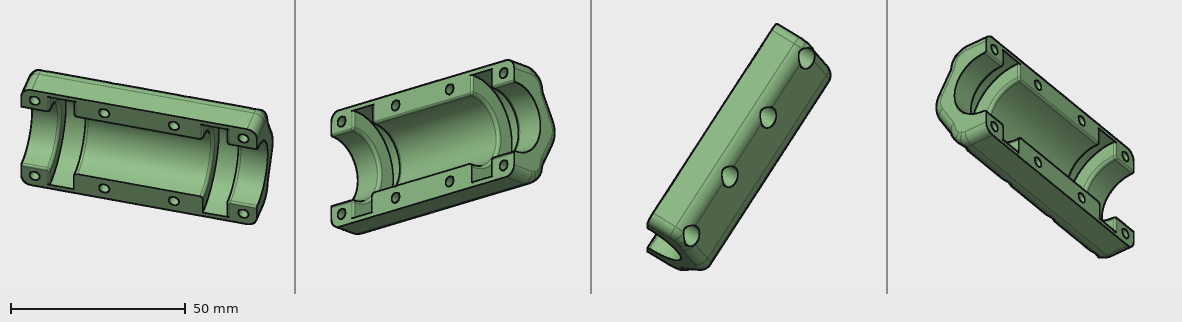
import cadquery as cq
import math

length = 70.0
depth = 19.4
height = 35.4
slope_angle = math.radians(30)
ridge_radius = 8.0
shoulder_radius = 5.0
end_radius = 3.0

axis_y = 0.85
bore_radius = 10.5
groove_radius = 16.3
groove_width = 7.15
first_groove_x = 8.5
second_groove_x = 53.9

lip_radius = 1.0
mouth_radius = 0.6

screw_diameter = 3.0
head_diameter = 6.0
head_seat_y = 7.0
screw_inset = 4.0
screw_z = 14.0
screws_per_row = 4
screw_pitch = (length - 2 * screw_inset) / (screws_per_row - 1)

tolerance = 0.01


def make_block():
    """Extrude the half hexagon and round its ridge and shoulders."""
    half_height = height / 2
    sharp_ridge_y = depth + ridge_radius * (1 / math.cos(slope_angle) - 1)
    shoulder_y = sharp_ridge_y - half_height * math.tan(slope_angle)
    block = (
        cq.Workplane("YZ")
        .moveTo(0, -half_height)
        .lineTo(shoulder_y, -half_height)
        .lineTo(sharp_ridge_y, 0)
        .lineTo(shoulder_y, half_height)
        .lineTo(0, half_height)
        .close()
        .extrude(length)
    )
    block = block.edges("|X and >Y").fillet(ridge_radius)
    shoulders = [
        edge for edge in block.edges("|X").vals() if abs(edge.Center().y - shoulder_y) < tolerance
    ]
    return block.newObject(shoulders).fillet(shoulder_radius)


def screw_hole(x, z):
    """Through hole with a head counterbore open to the sloped back."""
    shank = cq.Workplane("XZ", origin=(x, 0, z)).circle(screw_diameter / 2).extrude(-depth)
    head = cq.Workplane("XZ", origin=(x, head_seat_y, z)).circle(head_diameter / 2).extrude(-depth)
    return shank.union(head)


def round_ends(body):
    """Round the rims of both end faces, leaving their edges on the split plane sharp."""
    rims = [edge for edge in body.faces("<X or >X").edges().vals() if edge.Center().y > tolerance]
    return body.newObject(rims).fillet(end_radius)


def cylinder_on_axis(radius, start, width):
    """Cylinder on the bore axis."""
    return cq.Workplane("YZ", origin=(start, 0, 0)).center(axis_y, 0).circle(radius).extrude(width)


def round_lips(body, wall_positions):
    """Round the arcs where the bore runs into the groove walls."""
    lips = [
        edge
        for edge in body.edges("%CIRCLE").vals()
        if abs(edge.radius() - bore_radius) < tolerance
        and any(abs(edge.Center().x - wall_x) < tolerance for wall_x in wall_positions)
    ]
    return body.newObject(lips).fillet(lip_radius)


def round_mouth(body, start, end, side):
    """Round the split-plane edges of the land between two X values, with its groove-wall edges.

    The side is 1 above the bore and -1 below it. The tangent edges follow along.
    """
    mouth_half_width = math.sqrt(bore_radius**2 - axis_y**2)
    mouth_edges = []
    for edge in body.faces("<Y").edges("|X").vals():
        center = edge.Center()
        at_mouth = abs(center.z - side * mouth_half_width) < tolerance
        if at_mouth and start < center.x < end:
            mouth_edges.append(edge)
    return body.newObject(mouth_edges).fillet(mouth_radius)


first_groove_end = first_groove_x + groove_width
second_groove_end = second_groove_x + groove_width

result = make_block()
for index in range(screws_per_row):
    for hole_z in (-screw_z, screw_z):
        result = result.cut(screw_hole(screw_inset + index * screw_pitch, hole_z))
result = round_ends(result)

result = result.cut(cylinder_on_axis(bore_radius, 0, length))
for groove_x in (first_groove_x, second_groove_x):
    result = result.cut(cylinder_on_axis(groove_radius, groove_x, groove_width))

result = round_lips(
    result, (first_groove_x, first_groove_end, second_groove_x, second_groove_end)
)
lower, upper = -1, 1
for start, end, side in (
    (0, first_groove_x, lower),
    (0, first_groove_x, upper),
    (first_groove_end, second_groove_x, upper),
    (second_groove_end, length, lower),
    (second_groove_end, length, upper),
):
    result = round_mouth(result, start, end, side)